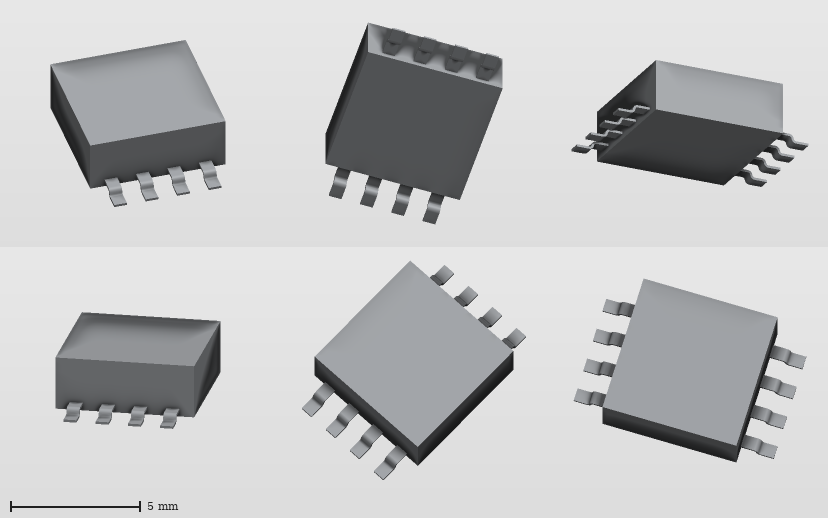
import cadquery as cq
import math

SPAN_X = 8.08
OVERALL_HEIGHT = 2.14
BODY_X = 5.41
BODY_Y = 5.46
STANDOFF = 0.05
BODY_HEIGHT = OVERALL_HEIGHT - STANDOFF

LEADS_PER_SIDE = 4
LEAD_PITCH = 1.27
LEAD_WIDTH = 0.51
LEAD_THICKNESS = 0.1
LEAD_RISE = 0.27
FOOT_LENGTH = 0.52
INNER_BEND_RADIUS = 0.1
OUTER_BEND_RADIUS = INNER_BEND_RADIUS + LEAD_THICKNESS
BEND_ANGLE = 72.0

MARKER_DIAMETER = 0.275
MARKER_DEPTH = 0.08
MARKER_X = -1.78
MARKER_Y = (LEADS_PER_SIDE - 1) / 2 * LEAD_PITCH


def make_marker():
    return (
        cq.Workplane("XY", origin=(MARKER_X, MARKER_Y, OVERALL_HEIGHT - MARKER_DEPTH))
        .circle(MARKER_DIAMETER / 2)
        .extrude(MARKER_DEPTH)
    )


def make_body(marker):
    block = (
        cq.Workplane("XY", origin=(0, 0, STANDOFF))
        .rect(BODY_X, BODY_Y)
        .extrude(BODY_HEIGHT)
    )
    return block.cut(marker)


def bend_point(center, radius, degrees):
    """Point on a bend, with the angle measured from +X towards +Z."""
    angle = math.radians(degrees)
    return (center[0] + radius * math.cos(angle), center[1] + radius * math.sin(angle))


def make_left_lead(y_center):
    """Lead on the -X side: flat foot, two opposite bends joined by a steep ramp, flat shoulder."""
    toe_x = -SPAN_X / 2
    wall_x = -BODY_X / 2
    shoulder_bottom = LEAD_RISE
    shoulder_top = LEAD_RISE + LEAD_THICKNESS

    ramp_angle = math.radians(BEND_ANGLE)
    bend_radii = INNER_BEND_RADIUS + OUTER_BEND_RADIUS
    ramp_length = (LEAD_RISE - bend_radii * (1 - math.cos(ramp_angle))) / math.sin(ramp_angle)
    bends_run = bend_radii * math.sin(ramp_angle) + ramp_length * math.cos(ramp_angle)

    lower_center = (toe_x + FOOT_LENGTH, OUTER_BEND_RADIUS)
    upper_center = (lower_center[0] + bends_run, shoulder_top - OUTER_BEND_RADIUS)
    lower_start = -90
    lower_middle = lower_start + BEND_ANGLE / 2
    lower_end = lower_start + BEND_ANGLE
    upper_start = 90
    upper_middle = upper_start + BEND_ANGLE / 2
    upper_end = upper_start + BEND_ANGLE

    profile = (
        cq.Workplane("XZ", origin=(0, y_center + LEAD_WIDTH / 2, 0))
        .moveTo(toe_x, 0)
        .lineTo(*bend_point(lower_center, OUTER_BEND_RADIUS, lower_start))
        .threePointArc(
            bend_point(lower_center, OUTER_BEND_RADIUS, lower_middle),
            bend_point(lower_center, OUTER_BEND_RADIUS, lower_end),
        )
        .lineTo(*bend_point(upper_center, INNER_BEND_RADIUS, upper_end))
        .threePointArc(
            bend_point(upper_center, INNER_BEND_RADIUS, upper_middle),
            bend_point(upper_center, INNER_BEND_RADIUS, upper_start),
        )
        .lineTo(wall_x, shoulder_bottom)
        .lineTo(wall_x, shoulder_top)
        .lineTo(*bend_point(upper_center, OUTER_BEND_RADIUS, upper_start))
        .threePointArc(
            bend_point(upper_center, OUTER_BEND_RADIUS, upper_middle),
            bend_point(upper_center, OUTER_BEND_RADIUS, upper_end),
        )
        .lineTo(*bend_point(lower_center, INNER_BEND_RADIUS, lower_end))
        .threePointArc(
            bend_point(lower_center, INNER_BEND_RADIUS, lower_middle),
            bend_point(lower_center, INNER_BEND_RADIUS, lower_start),
        )
        .lineTo(toe_x, LEAD_THICKNESS)
        .close()
    )
    return profile.extrude(LEAD_WIDTH)


def make_leads():
    leads = []
    for row in range(LEADS_PER_SIDE):
        y_center = (row - (LEADS_PER_SIDE - 1) / 2) * LEAD_PITCH
        left_lead = make_left_lead(y_center)
        leads.append(left_lead)
        leads.append(left_lead.mirror("YZ"))
    return leads


marker = make_marker()
body = make_body(marker)
leads = make_leads()

result = cq.Compound.makeCompound([body.val(), marker.val(), *[lead.val() for lead in leads]])